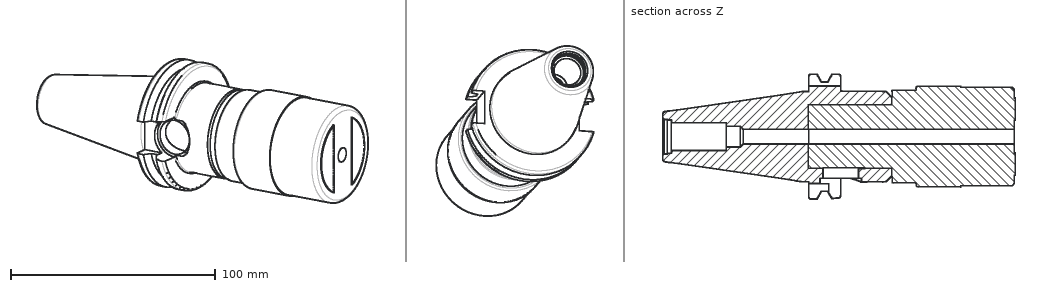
import cadquery as cq
import math


gauge_diameter = 44.4
gauge_x = 68.4
taper_ratio = 7 / 24
small_end_diameter = gauge_diameter - taper_ratio * gauge_x
small_end_fillet = 1.7

flange_diameter = 63.4
flange_start_x = 71.5
flange_end_x = 87.2
flange_fillet = 1.2
groove_diameter = 56.1
groove_bottom_start_x = 77.7
groove_bottom_end_x = 80.8
groove_flank_angle = 30
groove_flank_run = (flange_diameter - groove_diameter) / 2 * math.tan(math.radians(groove_flank_angle))

neck_diameter = 44.5
neck_fillet = 0.7
neck_band_x = 107.8
neck_band_diameter = 44.4
neck_chamfer_x = 109.3
neck_end_diameter = 39.0
neck_end_x = neck_chamfer_x + (neck_band_diameter - neck_end_diameter) / 2

slot_width = 16.5
slot_floor_front = 23.0
slot_floor_back = 24.9
pocket_diameter = 20.2
pocket_floor = 20.4
side_hole_diameter = 17.3

entry_diameter = 18.3
relief_diameter = 16.8
relief_depth = 2.5
counterbore_diameter = 16.2
counterbore_depth = 4.3
thread_bore_diameter = 13.5
thread_bore_end_x = 31.1
pilot_bore_diameter = 10.0
pilot_bore_end_x = 38.0
through_bore_diameter = 7.0

stem_diameter = 31.0
stem_start_x = flange_start_x
sleeve_start_x = 112.3
collar_diameter = 45.6
collar_fillet = 0.5
ring_start_x = 124.0
ring_end_x = 146.0
ring_diameter = 49.4
ring_fillet = 1.0
nose_diameter = 48.5
nose_end_x = 172.2
nose_fillet = 1.9
boss_diameter = 38.0
boss_end_x = 172.7
boss_slot_width = 15.9


def cylinder(start_x, end_x, diameter):
    """Solid cylinder about the X axis."""
    return cq.Workplane("YZ", origin=(start_x, 0, 0)).circle(diameter / 2).extrude(end_x - start_x)


def cone(start_x, end_x, start_diameter, end_diameter):
    """Solid truncated cone about the X axis."""
    solid = cq.Solid.makeCone(
        start_diameter / 2, end_diameter / 2, end_x - start_x, cq.Vector(start_x, 0, 0), cq.Vector(1, 0, 0)
    )
    return cq.Workplane(obj=solid)


def make_shank():
    taper = cone(0, gauge_x, small_end_diameter, gauge_diameter).faces("<X").edges().fillet(small_end_fillet)
    return taper.union(cylinder(gauge_x, flange_start_x, gauge_diameter))


def make_neck():
    neck = cylinder(flange_end_x, neck_band_x, neck_diameter)
    band = cylinder(neck_band_x, neck_chamfer_x, neck_band_diameter)
    end_cone = cone(neck_chamfer_x, neck_end_x, neck_band_diameter, neck_end_diameter)
    root = cylinder(neck_end_x, sleeve_start_x, neck_end_diameter)
    return neck.union(band).union(end_cone).union(root)


def make_flange():
    flange = cylinder(flange_start_x, flange_end_x, flange_diameter)
    flange = flange.faces("<X or >X").edges().fillet(flange_fillet)
    groove = (
        cq.Workplane("XY")
        .moveTo(groove_bottom_start_x, groove_diameter / 2)
        .lineTo(groove_bottom_end_x, groove_diameter / 2)
        .lineTo(groove_bottom_end_x + groove_flank_run, flange_diameter / 2)
        .lineTo(groove_bottom_start_x - groove_flank_run, flange_diameter / 2)
        .close()
        .revolve(360, (0, 0, 0), (1, 0, 0))
    )
    return flange.cut(groove)


def make_drive_slot(floor_distance, side):
    """Slot across the whole flange; side is -1 for the -Y slot and +1 for the +Y slot."""
    depth = flange_diameter / 2 - floor_distance
    middle_y = side * (floor_distance + depth / 2)
    length = flange_end_x - flange_start_x
    middle_x = flange_start_x + length / 2
    return cq.Workplane("XY").box(length, depth, slot_width).translate((middle_x, middle_y, 0))


def side_cylinder(end_distance, diameter):
    """Radial cylinder on the -Y side, centred on the rear flange face and ending at a distance from the axis."""
    workplane = cq.Workplane("XZ", origin=(flange_end_x, -end_distance, 0))
    return workplane.circle(diameter / 2).extrude(flange_diameter / 2 - end_distance)


def make_side_opening():
    """Flat-bottomed pocket with a smaller hole that runs on into the stem bore."""
    return side_cylinder(pocket_floor, pocket_diameter).union(side_cylinder(0, side_hole_diameter))


def make_bore():
    entry_length = (entry_diameter - relief_diameter) / 2
    tip_length = (pilot_bore_diameter - through_bore_diameter) / 2
    entry = cone(0, entry_length, entry_diameter, relief_diameter)
    relief = cylinder(0, relief_depth, relief_diameter)
    counterbore = cylinder(0, counterbore_depth, counterbore_diameter)
    thread_bore = cylinder(0, thread_bore_end_x, thread_bore_diameter)
    pilot_bore = cylinder(0, pilot_bore_end_x, pilot_bore_diameter)
    tip = cone(pilot_bore_end_x, pilot_bore_end_x + tip_length, pilot_bore_diameter, through_bore_diameter)
    through_bore = cylinder(0, stem_start_x, through_bore_diameter)
    stem_bore = cylinder(stem_start_x, sleeve_start_x, stem_diameter)
    bore = entry
    for step in (relief, counterbore, thread_bore, pilot_bore, tip, through_bore, stem_bore):
        bore = bore.union(step)
    return bore


def make_holder():
    holder = make_shank().union(make_flange()).union(make_neck())
    margin = neck_fillet / 4
    neck_corner = cq.selectors.BoxSelector(
        (flange_end_x - margin, -neck_diameter, -neck_diameter),
        (flange_end_x + margin, neck_diameter, neck_diameter),
    )
    holder = holder.edges(neck_corner).edges(cq.selectors.RadiusNthSelector(0)).fillet(neck_fillet)
    holder = holder.cut(make_drive_slot(slot_floor_front, -1))
    holder = holder.cut(make_drive_slot(slot_floor_back, 1))
    holder = holder.cut(make_side_opening())
    return holder.cut(make_bore())


def make_sleeve():
    collar = cylinder(sleeve_start_x, ring_start_x, collar_diameter).faces("<X").edges().fillet(collar_fillet)
    ring = cylinder(ring_start_x, ring_end_x, ring_diameter).faces("<X").edges().fillet(ring_fillet)
    nose = cylinder(ring_end_x, nose_end_x, nose_diameter).faces(">X").edges().fillet(nose_fillet)
    boss = cylinder(nose_end_x, boss_end_x, boss_diameter)
    boss_height = boss_end_x - nose_end_x
    boss_slot = cq.Workplane("XY").box(boss_height, boss_slot_width, boss_diameter)
    boss_slot = boss_slot.translate((nose_end_x + boss_height / 2, 0, 0))
    stem = cylinder(stem_start_x, sleeve_start_x, stem_diameter)
    sleeve = stem.union(collar).union(ring).union(nose).union(boss.cut(boss_slot))
    return sleeve.cut(cylinder(stem_start_x, boss_end_x, through_bore_diameter))


holder = make_holder()
sleeve = make_sleeve()
result = cq.Compound.makeCompound([holder.val(), sleeve.val()])